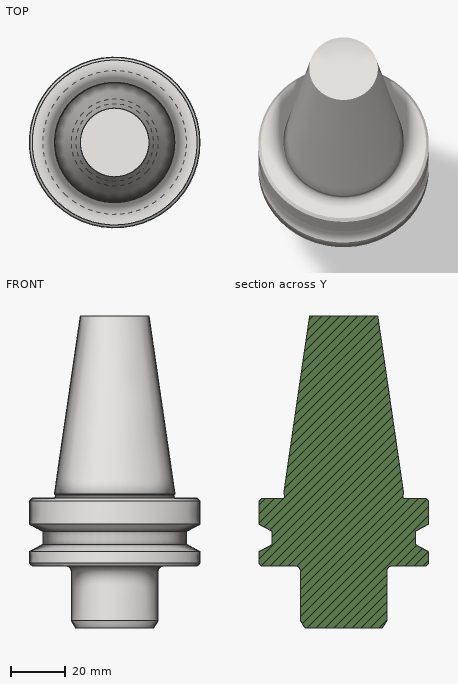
import cadquery as cq
import math


total_height = 115.4
flange_bottom = 23.0
flange_top = 48.0
gauge_plane = 50.0

gauge_radius = 44.4 / 2
taper_ratio = 7 / 24
tip_radius = gauge_radius - taper_ratio * (total_height - gauge_plane) / 2

gauge_land_bottom = 49.6
neck_top = 49.3
neck_depth = 0.2
neck_radius = gauge_radius - neck_depth
neck_fillet = 0.6

flange_radius = 63.0 / 2
flange_chamfer = 1.0
groove_radius = 53.1 / 2
groove_middle = 33.4
groove_floor_width = 4.8
groove_wall_height = 2.7

nose_radius = 32.1 / 2
nose_fillet = 2.0
nose_chamfer_height = 2.8
nose_chamfer_width = 1.7

fillet_middle_ratio = 1 - math.sqrt(0.5)


def make_nose():
    """Cylinder with a long chamfer at its lower end, blended into the flange."""
    fillet_middle = nose_fillet * fillet_middle_ratio
    return (
        cq.Workplane("XZ")
        .lineTo(nose_radius - nose_chamfer_width, 0)
        .lineTo(nose_radius, nose_chamfer_height)
        .lineTo(nose_radius, flange_bottom - nose_fillet)
        .threePointArc(
            (nose_radius + fillet_middle, flange_bottom - fillet_middle),
            (nose_radius + nose_fillet, flange_bottom),
        )
        .lineTo(0, flange_bottom)
        .close()
        .revolve(360, (0, 0, 0), (0, 1, 0))
    )


def make_flange():
    """Disc with chamfered rims and the gripper groove cut around it."""
    flange = (
        cq.Workplane("XY", origin=(0, 0, flange_bottom))
        .circle(flange_radius)
        .extrude(flange_top - flange_bottom)
        .edges("%CIRCLE")
        .chamfer(flange_chamfer)
    )
    floor_half = groove_floor_width / 2
    mouth_half = floor_half + groove_wall_height
    groove = (
        cq.Workplane("XZ")
        .moveTo(groove_radius, groove_middle - floor_half)
        .lineTo(flange_radius, groove_middle - mouth_half)
        .lineTo(flange_radius, groove_middle + mouth_half)
        .lineTo(groove_radius, groove_middle + floor_half)
        .close()
        .revolve(360, (0, 0, 0), (0, 1, 0))
    )
    return flange.cut(groove)


def make_shank():
    """Steep taper standing on a narrower neck, which is blended into the flange."""
    fillet_middle = neck_fillet * fillet_middle_ratio
    return (
        cq.Workplane("XZ")
        .moveTo(0, flange_top)
        .lineTo(neck_radius + neck_fillet, flange_top)
        .threePointArc(
            (neck_radius + fillet_middle, flange_top + fillet_middle),
            (neck_radius, flange_top + neck_fillet),
        )
        .lineTo(neck_radius, neck_top)
        .lineTo(gauge_radius, gauge_land_bottom)
        .lineTo(gauge_radius, gauge_plane)
        .lineTo(tip_radius, total_height)
        .lineTo(0, total_height)
        .close()
        .revolve(360, (0, 0, 0), (0, 1, 0))
    )


result = make_nose().union(make_flange()).union(make_shank())